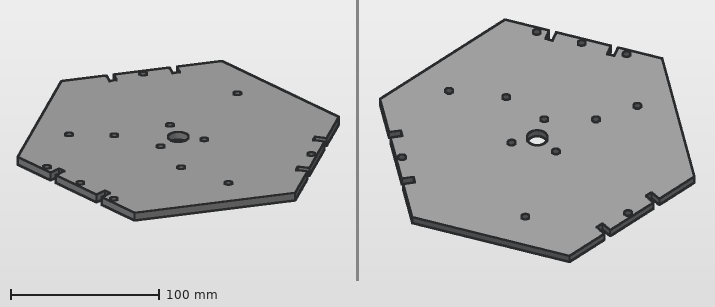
import cadquery as cq
import math

SIDES = 6
CORNER_SPAN = 224.0
PLATE_THICKNESS = 6.0
EDGE_DISTANCE = CORNER_SPAN / 2 * math.cos(math.pi / SIDES)

CENTRE_BORE_DIAMETER = 14.0
SCREW_DIAMETER = 5.3
SCREW_EDGE_MARGIN = 4.0
SCREW_SPACING = 64.0
PAIR_X = -16.0
PAIR_INNER_Y = 8.0

SLOT_WIDTH = 5.0
SLOT_DEPTH = 8.1
SLOT_OFFSET = 22.0

PATTERN_ANGLES = (0, 120, 240)

EDGE_SCREW_Y = -(EDGE_DISTANCE - SCREW_EDGE_MARGIN)


def rotated(point, angle):
    """Turn an (x, y) point about the plate centre by an angle in degrees."""
    x, y = point
    cosine = math.cos(math.radians(angle))
    sine = math.sin(math.radians(angle))
    return (x * cosine - y * sine, x * sine + y * cosine)


def hexagon_plate():
    """Hexagonal plate with two corners on the X axis."""
    return cq.Workplane("XY").polygon(SIDES, CORNER_SPAN).extrude(PLATE_THICKNESS)


def through_holes(points, diameter):
    """Cutting cylinders through the full plate thickness."""
    return cq.Workplane("XY").pushPoints(points).circle(diameter / 2).extrude(PLATE_THICKNESS)


def screw_points():
    """Centres of all the screw holes."""
    edge_screw = (0, EDGE_SCREW_Y)
    inner_screw = (PAIR_X, PAIR_INNER_Y)
    outer_screw = (PAIR_X, PAIR_INNER_Y + SCREW_SPACING)
    points = []
    for angle in PATTERN_ANGLES:
        for point in (edge_screw, inner_screw, outer_screw):
            points.append(rotated(point, angle))

    for x in (-SCREW_SPACING / 2, SCREW_SPACING / 2):
        for y in (EDGE_SCREW_Y, EDGE_SCREW_Y + SCREW_SPACING):
            points.append((x, y))
    return points


def edge_slots(angle):
    """Pair of slot cutters for the -Y flat, turned by an angle about Z."""
    slots = (
        cq.Workplane("XY")
        .pushPoints([(-SLOT_OFFSET, -EDGE_DISTANCE), (SLOT_OFFSET, -EDGE_DISTANCE)])
        .rect(SLOT_WIDTH, 2 * SLOT_DEPTH)
        .extrude(PLATE_THICKNESS)
    )
    return slots.rotate((0, 0, 0), (0, 0, 1), angle)


result = hexagon_plate()
result = result.cut(through_holes([(0, 0)], CENTRE_BORE_DIAMETER))
result = result.cut(through_holes(screw_points(), SCREW_DIAMETER))
for pattern_angle in PATTERN_ANGLES:
    result = result.cut(edge_slots(pattern_angle))